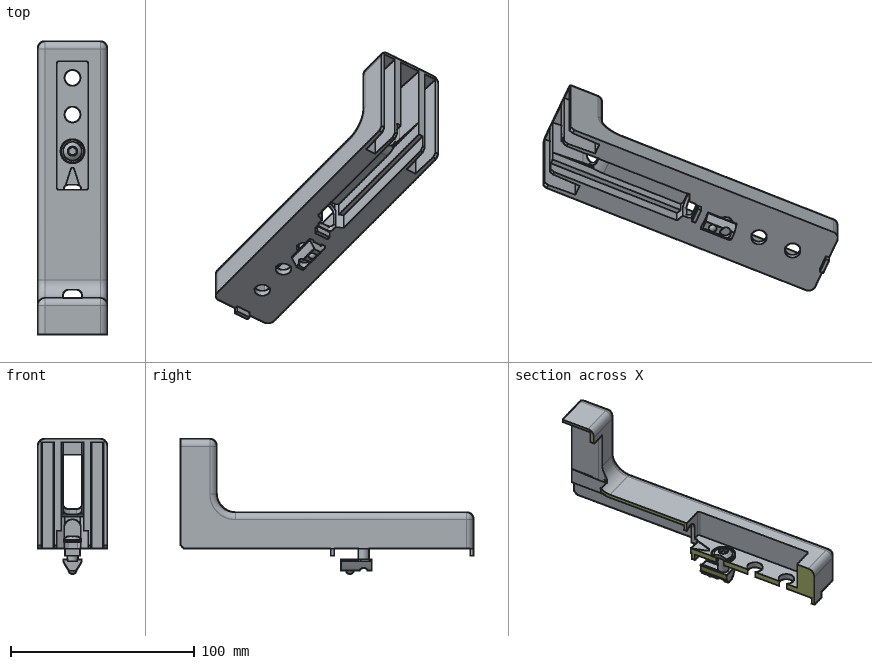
import cadquery as cq
import math

WIDTH = 38.0
LENGTH = 160.0
BASE_HEIGHT = 20.0
UPRIGHT_HEIGHT = 60.0
UPRIGHT_DEPTH = 20.0
INNER_BEND_RADIUS = 10.0
EDGE_RADIUS = 4.0
TOE_CHAMFER = 2.0
EDGE_CLEARANCE = 1.0
TOP_WALL = 2.0
CEILING_WALL = 2.5

GROOVE_INNER_X = 10.0
GROOVE_OUTER_X = 17.0
GROOVE_DEPTH = UPRIGHT_DEPTH - TOP_WALL
GROOVE_TAPER = 0.6

CHANNEL_WIDTH = 12.0
CHANNEL_BACK_WIDTH = 10.2
RECESS_FOOT_Z = 19.0
CHANNEL_FOOT_WIDTH = 17.0
CHANNEL_FOOT_HEIGHT = 9.7
CHANNEL_END_Y = 77.0
CHANNEL_END_WIDTH = 8.3
CHANNEL_END_ANGLE = 25.0

WINDOW_WIDTH = CHANNEL_BACK_WIDTH
WINDOW_TOP_Z = 51.2
WINDOW_END_Y = 24.4
WINDOW_CORNER_RADIUS = 3.0

POCKET_WIDTH = CHANNEL_FOOT_WIDTH
POCKET_START_Y = 79.0
POCKET_END_Y = 149.0
POCKET_CORNER_RADIUS = 1.0
FLOOR_THICKNESS = 3.7
HOLE_DIAMETER = 8.5
HOLE_PITCH = 20.0
SCREW_Y = 100.0
HOLE_COUNT = 3

TUNNEL_WIDTH = 9.2
TUNNEL_TOP_Z = 16.0
TUNNEL_END_Y = 81.6
TUNNEL_CORNER_RADIUS = 2.0

POINTER_TIP_Y = 91.0
POINTER_TIP_WIDTH = 1.4
POINTER_TIP_RADIUS = 0.9
POINTER_BASE_WIDTH = 7.4
POINTER_DEPTH = 0.25

LUG_WIDTH = CHANNEL_END_WIDTH
LUG_LENGTH = 2.0
LUG_HEIGHT = 3.9
FRONT_LUG_Y = 82.0
LUG_STARTS_Y = (FRONT_LUG_Y, LENGTH - LUG_LENGTH)

SHANK_RADIUS = 3.0
SCREW_LENGTH = 12.0
HEAD_HEIGHT = 3.1
HEAD_RADIUS = 5.1
HEAD_TOP_RADIUS = 2.6
HEAD_BULGE = 0.15
COLLAR_RADIUS = 6.6
COLLAR_HEIGHT = 1.2
COLLAR_CHAMFER = 0.4
SOCKET_ACROSS_FLATS = 4.0
SOCKET_DEPTH = 1.7

NUT_TOP_Z = -5.8
NUT_BOTTOM_Z = -12.1
NUT_WIDTH = 10.3
NUT_SIDE_HEIGHT = 1.0
NUT_KEEL_WIDTH = 4.4
NUT_KEEL_HEIGHT = 0.5
NUT_FLANK_BULGE = 0.15
NUT_START_Y = 87.5
NUT_LENGTH = 17.0
NUT_GROOVE_WIDTH = 5.0
NUT_GROOVE_DEPTH = 1.0
BALL_RADIUS = 2.2
BALL_Y = 92.5
BALL_BOTTOM_Z = -13.84


def box(width, y_start, y_end, z_start, z_end):
    """Block centred on X = 0."""
    return (
        cq.Workplane("XY")
        .box(width, y_end - y_start, z_end - z_start, centered=(True, False, False))
        .translate((0, y_start, z_start))
    )


def upright_cylinder(radius, y, z_start, z_end):
    return cq.Workplane("XY", origin=(0, y, z_start)).circle(radius).extrude(z_end - z_start)


def rounded_end_cutter(width, y_end, z_start, z_end, corner_radius):
    """Block from Y = 0 with both far upright edges rounded."""
    return box(width, 0, y_end, z_start, z_end).edges("|Z and >Y").fillet(corner_radius)


def l_block():
    """L profile with a rounded bend; its exposed outer edges are rounded."""
    bend_y = UPRIGHT_DEPTH + INNER_BEND_RADIUS
    bend_z = BASE_HEIGHT + INNER_BEND_RADIUS
    reach = INNER_BEND_RADIUS * math.sqrt(0.5)
    block = (
        cq.Workplane("YZ")
        .moveTo(TOE_CHAMFER, 0)
        .lineTo(LENGTH, 0)
        .lineTo(LENGTH, BASE_HEIGHT)
        .lineTo(bend_y, BASE_HEIGHT)
        .threePointArc((bend_y - reach, bend_z - reach), (UPRIGHT_DEPTH, bend_z))
        .lineTo(UPRIGHT_DEPTH, UPRIGHT_HEIGHT)
        .lineTo(0, UPRIGHT_HEIGHT)
        .lineTo(0, TOE_CHAMFER)
        .close()
        .extrude(WIDTH / 2, both=True)
    )
    back_and_top_edges = block.faces(">Y or >Z").edges("not(<Y or <Z)")
    bend_zone = cq.selectors.BoxSelector(
        (-WIDTH, UPRIGHT_DEPTH - EDGE_CLEARANCE, BASE_HEIGHT - EDGE_CLEARANCE),
        (WIDTH, LENGTH - EDGE_CLEARANCE, UPRIGHT_HEIGHT - EDGE_CLEARANCE),
    )
    bend_edges = block.edges(bend_zone).edges("<X or >X")
    return block.newObject(back_and_top_edges.vals() + bend_edges.vals()).fillet(EDGE_RADIUS)


def groove_cutter(side):
    """Groove open to the front and the underside; side is -1 or +1."""
    return (
        cq.Workplane("XY")
        .polyline([
            (side * GROOVE_INNER_X, 0),
            (side * GROOVE_OUTER_X, 0),
            (side * (GROOVE_OUTER_X - GROOVE_TAPER), GROOVE_DEPTH),
            (side * (GROOVE_INNER_X + GROOVE_TAPER), GROOVE_DEPTH),
        ])
        .close()
        .extrude(UPRIGHT_HEIGHT - TOP_WALL)
    )


def channel_plan(mouth_width, height):
    """Long channel block whose far end narrows to the channel end wall."""
    run_in = (CHANNEL_FOOT_WIDTH - CHANNEL_END_WIDTH) / 2 * math.tan(math.radians(CHANNEL_END_ANGLE))
    narrowing = (
        cq.Workplane("XY")
        .polyline([
            (-CHANNEL_FOOT_WIDTH / 2, 0),
            (CHANNEL_FOOT_WIDTH / 2, 0),
            (CHANNEL_FOOT_WIDTH / 2, CHANNEL_END_Y - run_in),
            (CHANNEL_END_WIDTH / 2, CHANNEL_END_Y),
            (-CHANNEL_END_WIDTH / 2, CHANNEL_END_Y),
            (-CHANNEL_FOOT_WIDTH / 2, CHANNEL_END_Y - run_in),
        ])
        .close()
        .extrude(height)
    )
    return narrowing.intersect(box(mouth_width, 0, LENGTH, 0, height))


def channel_cutter():
    """Channel under the base, joined round the bend to the recess in the upright."""
    ceiling = BASE_HEIGHT - CEILING_WALL
    back = UPRIGHT_DEPTH - CEILING_WALL
    radius = INNER_BEND_RADIUS + CEILING_WALL
    reach = radius * math.sqrt(0.5)
    bend_y = back + radius
    bend_z = ceiling + radius
    side_profile = (
        cq.Workplane("YZ")
        .moveTo(0, ceiling)
        .lineTo(bend_y, ceiling)
        .threePointArc((bend_y - reach, bend_z - reach), (back, bend_z))
        .lineTo(back, UPRIGHT_HEIGHT - TOP_WALL)
        .lineTo(0, UPRIGHT_HEIGHT - TOP_WALL)
        .close()
        .extrude(WIDTH / 2, both=True)
    )
    half_front = CHANNEL_WIDTH / 2
    half_back = CHANNEL_BACK_WIDTH / 2
    recess_plan = (
        cq.Workplane("XY", origin=(0, 0, ceiling))
        .polyline([
            (-half_front, 0),
            (half_front, 0),
            (half_back, back),
            (half_back, bend_y),
            (-half_back, bend_y),
            (-half_back, back),
        ])
        .close()
        .extrude(UPRIGHT_HEIGHT)
    )
    recess_foot = box(CHANNEL_WIDTH, 0, bend_y, ceiling, RECESS_FOOT_Z)
    recess = side_profile.intersect(recess_plan.union(recess_foot))
    upper = channel_plan(CHANNEL_WIDTH, ceiling)
    foot = channel_plan(CHANNEL_FOOT_WIDTH, CHANNEL_FOOT_HEIGHT)
    return recess.union(upper).union(foot)


def tunnel_cutter():
    """Arched passage into the pocket, ending in a round-cornered notch in the floor."""
    radius = TUNNEL_WIDTH / 2
    spring_z = TUNNEL_TOP_Z - radius
    arch = (
        cq.Workplane("XZ")
        .moveTo(-radius, 0)
        .lineTo(radius, 0)
        .lineTo(radius, spring_z)
        .threePointArc((0, TUNNEL_TOP_Z), (-radius, spring_z))
        .close()
        .extrude(-POCKET_START_Y)
    )
    notch = rounded_end_cutter(TUNNEL_WIDTH, TUNNEL_END_Y, 0, FLOOR_THICKNESS, TUNNEL_CORNER_RADIUS)
    start = CHANNEL_END_Y - UPRIGHT_DEPTH
    return arch.union(notch).intersect(box(WIDTH, start, LENGTH, 0, BASE_HEIGHT))


def pointer_cutter():
    """Arrow with a rounded tip whose base lies on the end of the notch."""
    arrow = (
        cq.Workplane("XY", origin=(0, 0, FLOOR_THICKNESS - POINTER_DEPTH))
        .polyline([
            (-POINTER_BASE_WIDTH / 2, TUNNEL_END_Y),
            (POINTER_BASE_WIDTH / 2, TUNNEL_END_Y),
            (POINTER_TIP_WIDTH / 2, POINTER_TIP_Y),
            (-POINTER_TIP_WIDTH / 2, POINTER_TIP_Y),
        ])
        .close()
        .extrude(POINTER_DEPTH)
    )
    return arrow.edges("|Z and >Y").fillet(POINTER_TIP_RADIUS)


def build_housing():
    housing = l_block()
    for side in (-1, 1):
        housing = housing.cut(groove_cutter(side))
    housing = housing.cut(channel_cutter())

    window = rounded_end_cutter(WINDOW_WIDTH, WINDOW_END_Y, BASE_HEIGHT - CEILING_WALL, WINDOW_TOP_Z,
                                WINDOW_CORNER_RADIUS)
    housing = housing.cut(window)

    pocket = box(POCKET_WIDTH, POCKET_START_Y, POCKET_END_Y, FLOOR_THICKNESS, BASE_HEIGHT)
    housing = housing.cut(pocket.edges("|Z").fillet(POCKET_CORNER_RADIUS))
    housing = housing.cut(tunnel_cutter())
    for index in range(HOLE_COUNT):
        hole_y = SCREW_Y + index * HOLE_PITCH
        housing = housing.cut(upright_cylinder(HOLE_DIAMETER / 2, hole_y, 0, FLOOR_THICKNESS))
    housing = housing.cut(pointer_cutter())

    for lug_y in LUG_STARTS_Y:
        housing = housing.union(box(LUG_WIDTH, lug_y, lug_y + LUG_LENGTH, -LUG_HEIGHT, 0))
    return housing


def screw():
    """Collared button-head screw resting on the pocket floor."""
    seat = FLOOR_THICKNESS
    top = seat + HEAD_HEIGHT
    dome_foot = seat + COLLAR_HEIGHT
    dome_middle_r = (HEAD_RADIUS + HEAD_TOP_RADIUS) / 2 + HEAD_BULGE
    dome_middle_z = (dome_foot + top) / 2 + HEAD_BULGE
    body = (
        cq.Workplane("XZ")
        .moveTo(0, seat - SCREW_LENGTH)
        .lineTo(SHANK_RADIUS, seat - SCREW_LENGTH)
        .lineTo(SHANK_RADIUS, seat)
        .lineTo(COLLAR_RADIUS, seat)
        .lineTo(COLLAR_RADIUS, dome_foot - COLLAR_CHAMFER)
        .lineTo(COLLAR_RADIUS - COLLAR_CHAMFER, dome_foot)
        .lineTo(HEAD_RADIUS, dome_foot)
        .threePointArc((dome_middle_r, dome_middle_z), (HEAD_TOP_RADIUS, top))
        .lineTo(0, top)
        .close()
        .revolve(360, (0, 0, 0), (0, 1, 0))
        .translate((0, SCREW_Y, 0))
    )
    hex_half_angle = 30
    across_corners = SOCKET_ACROSS_FLATS / math.cos(math.radians(hex_half_angle))
    socket = (
        cq.Workplane("XY", origin=(0, SCREW_Y, top))
        .transformed(rotate=(0, 0, hex_half_angle))
        .polygon(6, across_corners)
        .extrude(-SOCKET_DEPTH)
    )
    return body.cut(socket)


def slot_nut():
    """Keel-shaped nut along Y, bored through for the screw and grooved in its top."""
    half = NUT_WIDTH / 2
    half_keel = NUT_KEEL_WIDTH / 2
    shoulder_z = NUT_TOP_Z - NUT_SIDE_HEIGHT
    keel_z = NUT_BOTTOM_Z + NUT_KEEL_HEIGHT
    flank_x = (half + half_keel) / 2 + NUT_FLANK_BULGE
    flank_z = (shoulder_z + keel_z) / 2
    nut = (
        cq.Workplane("XZ", origin=(0, NUT_START_Y, 0))
        .moveTo(-half, NUT_TOP_Z)
        .lineTo(half, NUT_TOP_Z)
        .lineTo(half, shoulder_z)
        .threePointArc((flank_x, flank_z), (half_keel, keel_z))
        .lineTo(half_keel, NUT_BOTTOM_Z)
        .lineTo(-half_keel, NUT_BOTTOM_Z)
        .lineTo(-half_keel, keel_z)
        .threePointArc((-flank_x, flank_z), (-half, shoulder_z))
        .close()
        .extrude(-NUT_LENGTH)
    )
    groove = box(NUT_GROOVE_WIDTH, NUT_START_Y, SCREW_Y, NUT_TOP_Z - NUT_GROOVE_DEPTH, NUT_TOP_Z)
    bore = upright_cylinder(SHANK_RADIUS, SCREW_Y, NUT_BOTTOM_Z, NUT_TOP_Z)
    ball = cq.Workplane("XY", origin=(0, BALL_Y, BALL_BOTTOM_Z + BALL_RADIUS)).sphere(BALL_RADIUS)
    return nut.cut(groove).cut(bore).union(ball)


def build_fastener():
    return screw().union(slot_nut())


housing = build_housing()
fastener = build_fastener()
result = cq.Compound.makeCompound([housing.val(), fastener.val()])